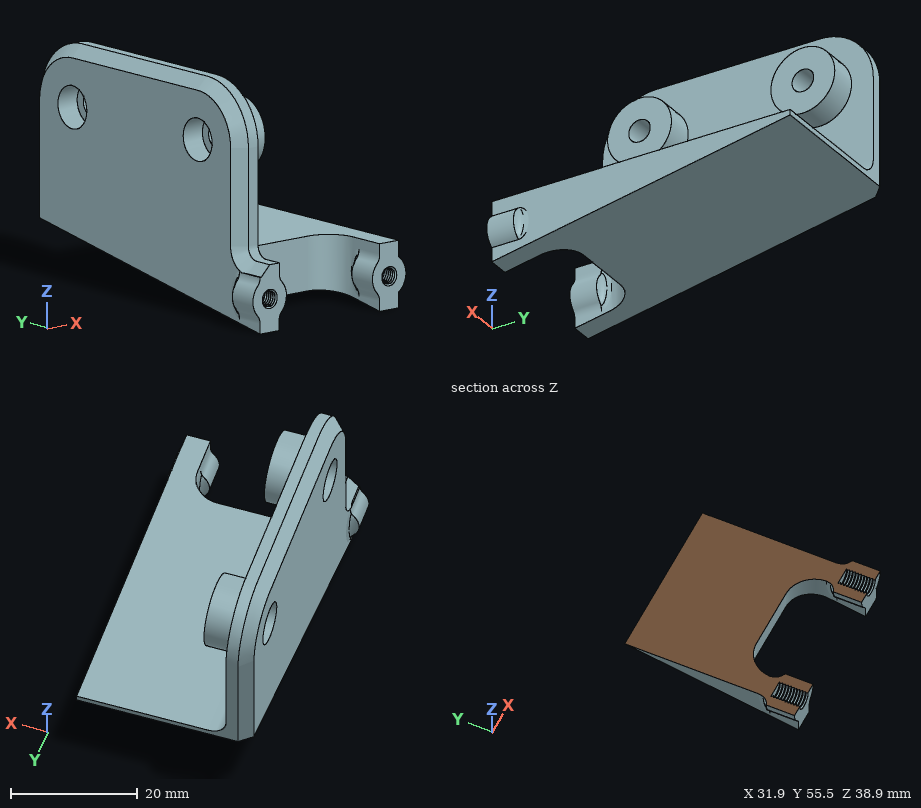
import cadquery as cq
import math

length = 55.45
height = 38.85
thickness = 4.0
half_thick = thickness / 2
floor_top = 11.0
underside_rise = 10.0
lug_spacing = 24.85
floor_right = lug_spacing + half_thick

plate_front = 5.15
corner_radius = 10.0
step_radius = 2.0
edge_chamfer = 2.0
root_radius = 3.0

slot_depth = 11.55
slot_radius = 5.0

boss_diameter = 11.85
boss_length = 5.0
hole_diameter = 4.0
counterbore_diameter = 7.0
counterbore_depth = 4.0

lug_radius = 7.0 / 2
lug_length = 5.0
lug_z = 5.45
blend_radius = 2.0
thread_minor = 2.55
thread_major = 3.1
thread_pitch = 0.5
thread_turns = 10

ball_offset = half_thick + blend_radius
blend_half_height = math.sqrt((lug_radius + blend_radius) ** 2 - ball_offset**2)


def below_slope():
    """Space under the sloping underside, wide enough for the whole part."""
    return (
        cq.Workplane("YZ", origin=(-length, 0, 0))
        .polyline([(0, 0), (length, underside_rise), (length, -height), (0, -height)])
        .close()
        .extrude(3 * length)
    )


def upright_plate():
    """Rounded upright plate, chamfered along its outer rim."""
    diagonal = math.sqrt(0.5)
    top_arc_z = height - corner_radius
    front_arc_y = plate_front + corner_radius
    rear_arc_y = length - corner_radius
    step_mid = step_radius * (1 - diagonal)
    plate = (
        cq.Workplane("YZ", origin=(-half_thick, 0, 0))
        .moveTo(0, 0)
        .lineTo(0, floor_top)
        .lineTo(plate_front - step_radius, floor_top)
        .threePointArc(
            (plate_front - step_mid, floor_top + step_mid),
            (plate_front, floor_top + step_radius),
        )
        .lineTo(plate_front, top_arc_z)
        .threePointArc(
            (front_arc_y - corner_radius * diagonal, top_arc_z + corner_radius * diagonal),
            (front_arc_y, height),
        )
        .lineTo(rear_arc_y, height)
        .threePointArc(
            (rear_arc_y + corner_radius * diagonal, top_arc_z + corner_radius * diagonal),
            (length, top_arc_z),
        )
        .lineTo(length, 0)
        .close()
        .extrude(thickness)
    )
    at_front = cq.selectors.BoxSelector((-length, -0.55, -0.55), (length, 0.55, floor_top - 0.55))
    at_bottom = cq.selectors.BoxSelector((-length, 0.55, -0.55), (length, length - 0.55, 0.55))
    rim = plate.faces("<X").edges(cq.selectors.SubtractSelector(
        cq.selectors.StringSyntaxSelector("<X"), cq.selectors.SumSelector(at_front, at_bottom)
    ))
    return rim.chamfer(edge_chamfer)


def floor_with_slot():
    """Floor with a rounded root along the plate and the slot between the arms."""
    root_mid = root_radius * (1 - math.sqrt(0.5))
    section = (
        cq.Workplane("XZ")
        .moveTo(0, 0)
        .lineTo(floor_right, 0)
        .lineTo(floor_right, floor_top)
        .lineTo(half_thick + root_radius, floor_top)
        .threePointArc(
            (half_thick + root_mid, floor_top + root_mid),
            (half_thick, floor_top + root_radius),
        )
        .lineTo(0, floor_top + root_radius)
        .close()
        .extrude(-length)
    )
    plate_side = cq.Workplane("XY").box(half_thick, length, height, centered=False)
    slot_width = lug_spacing - thickness
    slot = (
        cq.Workplane("XY")
        .box(slot_width, 2 * slot_depth, height, centered=(False, True, False))
        .edges("|Z and >Y")
        .fillet(slot_radius)
        .translate((half_thick, 0, 0))
    )
    return section.cut(plate_side).cut(slot)


def blended_side():
    """Half lug profile on the +X side, flowing into the arm through side fillets."""
    touch = lug_radius / (lug_radius + blend_radius)
    touch_x = ball_offset * touch
    touch_z = blend_half_height * touch
    angle = math.atan2(blend_half_height, ball_offset) / 2
    mid_x = ball_offset - blend_radius * math.cos(angle)
    mid_z = blend_half_height - blend_radius * math.sin(angle)
    return (
        cq.Workplane("XZ")
        .moveTo(0, -blend_half_height)
        .lineTo(half_thick, -blend_half_height)
        .threePointArc((mid_x, -mid_z), (touch_x, -touch_z))
        .threePointArc((lug_radius, 0), (touch_x, touch_z))
        .threePointArc((mid_x, mid_z), (half_thick, blend_half_height))
        .lineTo(0, blend_half_height)
        .close()
        .extrude(-lug_length)
    )


def plain_side():
    """Half lug profile on the +X side, meeting the arm at a sharp edge."""
    half = cq.Workplane("XY").box(
        lug_radius, lug_length, 2 * lug_radius, centered=(False, False, True)
    )
    return cq.Workplane("XZ").circle(lug_radius).extrude(-lug_length).intersect(half)


def plain_half_height(x):
    """Half height of the plain lug profile at a distance x from the arm mid-plane."""
    return math.sqrt(lug_radius**2 - x**2)


def blended_half_height(x):
    """Half height of the blended lug profile at a distance x from the arm mid-plane."""
    if x > ball_offset * lug_radius / (lug_radius + blend_radius):
        return plain_half_height(x)
    return blend_half_height - math.sqrt(blend_radius**2 - (ball_offset - x) ** 2)


def lug_side(profile, half_height):
    """One side of a lug, with its rear end faded into the arm by a concave blend."""
    reach = math.sqrt(blend_radius**2 - (ball_offset - lug_radius) ** 2)
    layers = 8
    tip_gap = 0.03
    layer_step = (lug_radius - tip_gap - half_thick) / layers
    tail = cq.Workplane("YZ", origin=(half_thick, lug_length, 0))
    for layer in range(layers + 1):
        x = half_thick + layer * layer_step
        tall = half_height(x)
        deep = reach - math.sqrt(blend_radius**2 - (ball_offset - x) ** 2)
        if layer > 0:
            tail = tail.workplane(offset=layer_step)
        tail = tail.moveTo(0, 0).ellipseArc(deep, tall, -90, 90, startAtCurrent=False).close()
    return profile().union(tail.loft(ruled=True))


def thread_bore():
    """Threaded hole as a minor bore with V-shaped ring grooves, axis along +Y."""
    minor = thread_minor / 2
    major = thread_major / 2
    outline = cq.Workplane("XY").lineTo(major, 0)
    for turn in range(thread_turns):
        start = turn * thread_pitch
        outline = outline.lineTo(minor, start + thread_pitch / 2)
        outline = outline.lineTo(major, start + thread_pitch)
    depth = thread_turns * thread_pitch
    return outline.lineTo(0, depth).close().revolve(360, (0, 0, 0), (0, 1, 0))


def bosses_and_holes():
    """Cylinders for the two bosses, and the counterbored holes through them."""
    centres = [
        (plate_front + corner_radius, height - corner_radius),
        (length - corner_radius, height - corner_radius),
    ]
    outer_face = cq.Workplane("YZ", origin=(-half_thick, 0, 0)).pushPoints(centres)
    inner_face = cq.Workplane("YZ", origin=(half_thick, 0, 0)).pushPoints(centres)
    bosses = inner_face.circle(boss_diameter / 2).extrude(boss_length)
    holes = outer_face.circle(hole_diameter / 2).extrude(thickness + boss_length)
    counterbores = outer_face.circle(counterbore_diameter / 2).extrude(counterbore_depth)
    return bosses, holes.union(counterbores)


body = upright_plate().union(floor_with_slot()).cut(below_slope())

bosses, holes = bosses_and_holes()
body = body.union(bosses).cut(holes)

blended = lug_side(blended_side, blended_half_height)
plain = lug_side(plain_side, plain_half_height)
mirrored = blended.mirror("YZ")
for lug_x, right_side in ((0, blended), (lug_spacing, plain)):
    for side in (mirrored, right_side):
        body = body.union(side.translate((lug_x, 0, lug_z)))

for lug_x in (0, lug_spacing):
    body = body.cut(thread_bore().translate((lug_x, 0, lug_z)))

result = body